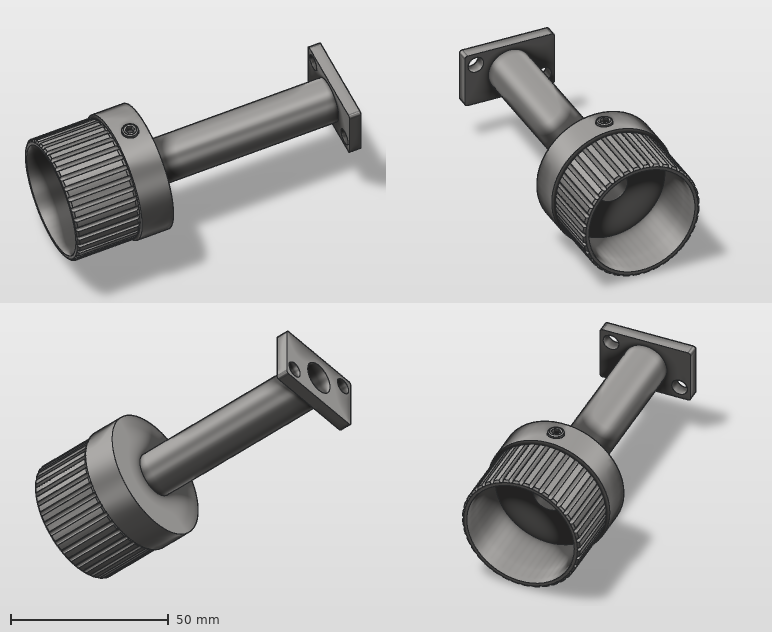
import cadquery as cq
import math


total_length = 101.0
flange_thickness = 4.0
collar_start = 68.0
collar_length = 11.0
grip_start = collar_start + collar_length
grip_length = total_length - grip_start

flange_width = 31.6
flange_height = 18.8
flange_corner_radius = 1.0
mount_hole_diameter = 5.5
mount_hole_x = 11.9
mount_hole_z = 5.3

tube_diameter = 15.0
bore_diameter = 11.0
collar_diameter = 42.4
grip_diameter = 40.9
cup_diameter = 37.4

grip_back_chamfer_length = 1.0
grip_back_chamfer_depth = 0.7
grip_front_chamfer_length = 0.6
grip_front_chamfer_depth = 0.7
flute_count = 36
flute_radius = 0.76

screw_y = -(collar_start + collar_length / 2)
screw_diameter = 5.2
screw_hole_diameter = 5.6
screw_protrusion = 0.77
screw_top = collar_diameter / 2 + screw_protrusion
screw_tip = 5.3
screw_chamfer_height = 0.3
screw_chamfer_depth = 0.5
socket_across_flats = 2.6
socket_depth = 2.0
socket_angle = 15
socket_sides = 6


def cylinder_along_y(diameter, start, end):
    """Cylinder on the Y axis between two distances from the flange's back face."""
    plane = cq.Workplane("XZ", origin=(0, -start, 0))
    return plane.circle(diameter / 2).extrude(end - start)


def make_flange():
    """Flange plate with rounded corners and two diagonally opposite mounting holes."""
    plate = cq.Workplane("XZ").rect(flange_width, flange_height).extrude(flange_thickness)
    plate = plate.edges("|Y").fillet(flange_corner_radius)
    hole_centers = [(-mount_hole_x, mount_hole_z), (mount_hole_x, -mount_hole_z)]
    holes = (
        cq.Workplane("XZ")
        .pushPoints(hole_centers)
        .circle(mount_hole_diameter / 2)
        .extrude(flange_thickness)
    )
    return plate.cut(holes)


def make_grip():
    """Fluted sleeve with a chamfer at each end."""
    radius = grip_diameter / 2
    profile = [
        (0, -grip_start),
        (radius - grip_back_chamfer_depth, -grip_start),
        (radius, -(grip_start + grip_back_chamfer_length)),
        (radius, -(total_length - grip_front_chamfer_length)),
        (radius - grip_front_chamfer_depth, -total_length),
        (0, -total_length),
    ]
    sleeve = cq.Workplane("XY").polyline(profile).close().revolve(360, (0, 0, 0), (0, 1, 0))
    flutes = (
        cq.Workplane("XZ", origin=(0, -grip_start, 0))
        .polarArray(radius, 0, 360, flute_count)
        .circle(flute_radius)
        .extrude(grip_length)
    )
    return sleeve.cut(flutes)


def make_knob():
    """Flange, tube, collar and grip in one piece, bored through and hollowed out over the grip's length."""
    tube = cylinder_along_y(tube_diameter, flange_thickness, collar_start)
    collar = cylinder_along_y(collar_diameter, collar_start, grip_start)
    bore = cylinder_along_y(bore_diameter, 0, total_length)
    cup = cylinder_along_y(cup_diameter, grip_start, total_length)
    screw_hole = (
        cq.Workplane("XY", origin=(0, screw_y, 0))
        .circle(screw_hole_diameter / 2)
        .extrude(collar_diameter)
    )
    solid = make_flange().union(tube).union(collar).union(make_grip())
    return solid.cut(bore).cut(cup).cut(screw_hole)


def make_set_screw():
    """Set screw with a chamfered head end and a hexagon socket; its tip enters the bore."""
    radius = screw_diameter / 2
    profile = [
        (0, screw_tip),
        (radius, screw_tip),
        (radius, screw_top - screw_chamfer_height),
        (radius - screw_chamfer_depth, screw_top),
        (0, screw_top),
    ]
    shank_plane = cq.Workplane("XZ", origin=(0, screw_y, 0))
    shank = shank_plane.polyline(profile).close().revolve(360, (0, 0, 0), (0, 1, 0))
    across_corners = socket_across_flats / math.cos(math.pi / socket_sides)
    socket = (
        cq.Workplane("XY", origin=(0, screw_y, screw_top - socket_depth))
        .transformed(rotate=(0, 0, socket_angle))
        .polygon(socket_sides, across_corners)
        .extrude(socket_depth)
    )
    return shank.cut(socket)


knob = make_knob()
set_screw = make_set_screw()

result = cq.Compound.makeCompound([knob.val(), set_screw.val()])